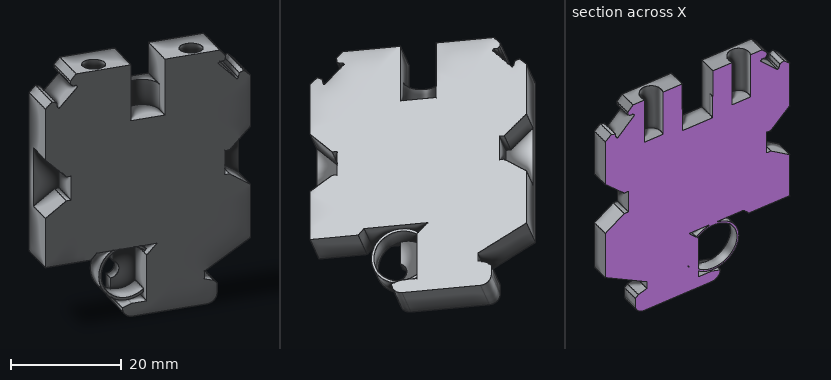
import cadquery as cq

thickness = 8.0
height = 50.0
half_width = 20.0
side_wall = 2.2

slot_half_width = 3.3
slot_floor = 43.9

foot_back = 13.5
foot_front = -5.0
foot_radius = 2.0
hook_root = 11.0
hook_tip = 12.85
hook_root_height = 5.05
hook_tip_height = 4.45
rail_seat = 13.7
rail_stop = -4.5
block_bottom = 12.5
block_side_bottom = 11.75
block_chamfer_top = -10.0
block_chamfer_foot = -11.1
hook_neck_top = 6.55
hook_nose_height = 3.85
notch_bottom = 5.5
notch_radius = 1.65
notch_height = notch_bottom + notch_radius

ring_y = -3.5
ring_z = 8.25
ring_outer = 5.5
ring_inner = 5.0
ring_start = 2.35
ring_end = 6.5
pocket_back = -0.25
pocket_lip_y = -3.15
pocket_floor = 2.6
pocket_slope_top = rail_seat
pocket_slope_bottom = 11.7

funnel_bottom = 22.3
funnel_top = 33.85
throat_bottom = 25.1
throat_top = 29.85
funnel_depth = 4.1
throat_depth = 5.0

screw_x = 5.25
screw_y = 9.5
screw_radius = 2.15
screw_depth = 10.0
well_depth = 5.0

top_half = [
    (slot_half_width, slot_floor),
    (slot_half_width, height),
    (14.0, height),
    (15.15, 48.75),
    (15.05, 48.0),
    (14.65, 47.7),
    (14.0, 47.7),
    (13.7, 47.4),
    (17.35, 43.7),
    (17.6, 43.95),
    (17.8, 44.85),
    (18.7, 45.2),
    (half_width, 44.0),
]


def extrude_between(sketch, start, end):
    """Extrude a YZ outline between two X positions."""
    return sketch.extrude(end - start).translate((start, 0, 0))


def make_body():
    mirrored_top = [(-y, z) for y, z in reversed(top_half)]
    outline = (
        cq.Workplane("YZ")
        .polyline(mirrored_top + top_half)
        .lineTo(half_width, block_side_bottom)
        .lineTo(hook_root, hook_neck_top)
        .lineTo(hook_root, hook_root_height)
        .lineTo(hook_tip, hook_tip_height)
        .lineTo(foot_back, hook_nose_height)
        .lineTo(foot_back, foot_radius)
        .radiusArc((foot_back - foot_radius, 0), foot_radius)
        .lineTo(foot_front + foot_radius, 0)
        .radiusArc((foot_front, foot_radius), foot_radius)
        .lineTo(foot_front, notch_bottom)
        .threePointArc(
            (foot_front + notch_radius, notch_height),
            (rail_stop, notch_height + notch_radius),
        )
        .lineTo(rail_stop, rail_seat)
        .lineTo(block_chamfer_top, rail_seat)
        .lineTo(block_chamfer_foot, block_bottom)
        .lineTo(-half_width, block_bottom)
        .close()
    )
    return outline.extrude(thickness)


def make_foot_pocket():
    """Space behind the side wall, open towards -Y and +X."""
    slope_run = pocket_slope_top - pocket_slope_bottom
    outline = (
        cq.Workplane("YZ")
        .moveTo(foot_front, foot_radius)
        .lineTo(pocket_lip_y, pocket_floor)
        .lineTo(pocket_back, pocket_floor)
        .lineTo(pocket_back, pocket_slope_bottom)
        .lineTo(pocket_back + slope_run, pocket_slope_top)
        .lineTo(foot_front, pocket_slope_top)
        .close()
    )
    return extrude_between(outline, side_wall, thickness)


def make_ring():
    outline = (
        cq.Workplane("YZ")
        .center(ring_y, ring_z)
        .circle(ring_outer)
        .circle(ring_inner)
    )
    return extrude_between(outline, ring_start, ring_end)


def make_funnel(side):
    """Wire entry on the -Y (side = -1) or +Y (side = 1) face."""
    mouth = side * half_width
    throat = side * (half_width - funnel_depth)
    end = side * (half_width - throat_depth)
    outline = cq.Workplane("YZ").polyline([
        (mouth, funnel_bottom),
        (throat, throat_bottom),
        (end, throat_bottom),
        (end, throat_top),
        (throat, throat_top),
        (mouth, funnel_top),
    ]).close()
    return extrude_between(outline, side_wall, thickness)


def make_bridge_well():
    """U-shaped well in the slot floor, open towards +X."""
    plane = cq.Workplane("XY").workplane(offset=slot_floor - well_depth)
    return (
        plane
        .moveTo(thickness, -slot_half_width)
        .lineTo(screw_x, -slot_half_width)
        .threePointArc((screw_x - slot_half_width, 0), (screw_x, slot_half_width))
        .lineTo(thickness, slot_half_width)
        .close()
        .extrude(well_depth)
    )


screw_holes = (
    cq.Workplane("XY")
    .workplane(offset=height - screw_depth)
    .pushPoints([(screw_x, -screw_y), (screw_x, screw_y)])
    .circle(screw_radius)
    .extrude(screw_depth)
)

result = make_body().cut(make_foot_pocket()).cut(make_bridge_well()).cut(screw_holes)
for side in (-1, 1):
    result = result.cut(make_funnel(side))
result = result.union(make_ring())